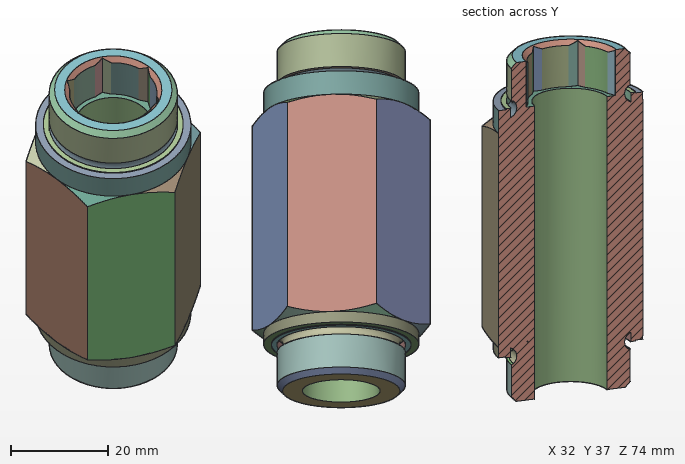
import cadquery as cq
import math

total_length = 74.0
half_length = total_length / 2

hex_sides = 6
hex_half_step = 180.0 / hex_sides
hex_across_flats = 32.0
hex_across_corners = hex_across_flats / math.cos(math.pi / hex_sides)
hex_top_offset = 15.0
hex_bottom_offset = 12.3
hex_chamfer_angle = 30.0

collar_diameter = hex_across_flats
seat_offset = 9.8
seat_height = 0.2
seat_outer_diameter = 28.8
seat_inner_diameter = 26.5
spigot_diameter = 26.44
spigot_chamfer = 1.15
spigot_length = 8.25
shoulder_width = 0.5
shoulder_drop = 0.15
groove_radius = 2.0
groove_waist_diameter = 24.0

bore_diameter = 16.0
socket_across_flats = 17.0
socket_across_corners = socket_across_flats / math.cos(math.pi / hex_sides)
socket_bore_diameter = 18.0
socket_depth = 10.0
mouth_diameter = 20.0
mouth_chamfer_angle = 45.0


def make_hexagon_body():
    """Hexagonal bar with corners on +/-Y, turned down to its across-flats circle at both ends."""
    top = half_length - hex_top_offset
    bottom = -half_length + hex_bottom_offset
    flat_radius = hex_across_flats / 2
    corner_radius = hex_across_corners / 2
    drop = (corner_radius - flat_radius) * math.tan(math.radians(hex_chamfer_angle))
    bar = (
        cq.Workplane("XY", origin=(0, 0, bottom))
        .polygon(hex_sides, hex_across_corners)
        .extrude(top - bottom)
        .rotate((0, 0, 0), (0, 0, 1), hex_half_step)
    )
    envelope = (
        cq.Workplane("XZ")
        .moveTo(0, bottom)
        .lineTo(flat_radius, bottom)
        .lineTo(corner_radius, bottom + drop)
        .lineTo(corner_radius, top - drop)
        .lineTo(flat_radius, top)
        .lineTo(0, top)
        .close()
        .revolve(360, (0, 0), (0, 1))
    )
    return bar.intersect(envelope)


def make_upper_end():
    """Collar, raised seat, round-bottomed groove and chamfered spigot, reaching down to mid-length."""
    seat_face = half_length - seat_offset
    collar_face = seat_face - seat_height
    spigot_radius = spigot_diameter / 2
    shoulder = half_length - spigot_length
    seat_inner_radius = seat_inner_diameter / 2
    waist_radius = groove_waist_diameter / 2
    groove_center = waist_radius + groove_radius
    groove_top_radius = spigot_radius - shoulder_width
    groove_top = shoulder - shoulder_drop
    waist = groove_top - math.sqrt(groove_radius**2 - (groove_center - groove_top_radius) ** 2)
    groove_floor = waist - math.sqrt(groove_radius**2 - (groove_center - seat_inner_radius) ** 2)
    return (
        cq.Workplane("XZ")
        .moveTo(0, 0)
        .lineTo(collar_diameter / 2, 0)
        .lineTo(collar_diameter / 2, collar_face)
        .lineTo(seat_outer_diameter / 2, collar_face)
        .lineTo(seat_outer_diameter / 2, seat_face)
        .lineTo(seat_inner_radius, seat_face)
        .lineTo(seat_inner_radius, groove_floor)
        .threePointArc((waist_radius, waist), (groove_top_radius, groove_top))
        .lineTo(spigot_radius, shoulder)
        .lineTo(spigot_radius, half_length - spigot_chamfer)
        .lineTo(spigot_radius - spigot_chamfer, half_length)
        .lineTo(0, half_length)
        .close()
        .revolve(360, (0, 0), (0, 1))
    )


def make_bore():
    """Plain bore through the whole length."""
    return cq.Workplane("XY", origin=(0, 0, -half_length)).circle(bore_diameter / 2).extrude(total_length)


def make_socket():
    """Hexagon socket with corners on +/-X, its pilot bore and the conical mouth."""
    floor = half_length - socket_depth
    mouth_radius = mouth_diameter / 2
    mouth_depth = (mouth_radius - bore_diameter / 2) / math.tan(math.radians(mouth_chamfer_angle))
    base = cq.Workplane("XY", origin=(0, 0, floor))
    hexagon = base.polygon(hex_sides, socket_across_corners).extrude(socket_depth)
    pilot = base.circle(socket_bore_diameter / 2).extrude(socket_depth)
    mouth = (
        cq.Workplane("XZ")
        .moveTo(0, half_length)
        .lineTo(mouth_radius, half_length)
        .lineTo(bore_diameter / 2, half_length - mouth_depth)
        .lineTo(0, half_length - mouth_depth)
        .close()
        .revolve(360, (0, 0), (0, 1))
    )
    return hexagon.union(pilot).union(mouth)


upper_end = make_upper_end()
lower_end = upper_end.mirror("XY")
body = make_hexagon_body().union(upper_end).union(lower_end)
result = body.cut(make_bore()).cut(make_socket())